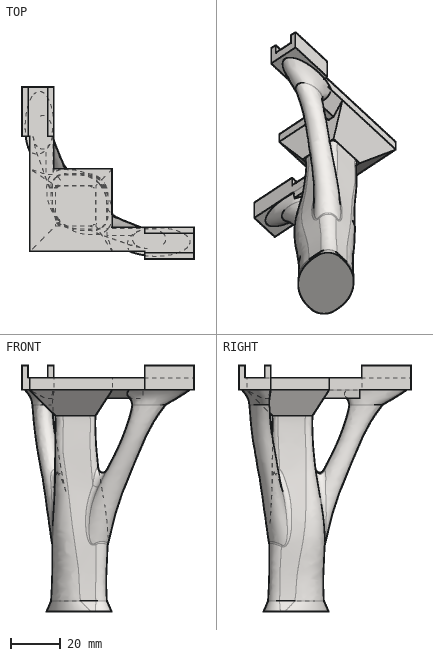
import cadquery as cq
import math


height = 100.0
overall_size = 69.98
plate_thickness = 5.0
lip_height = 5.0
plate_top = height - lip_height
plate_bottom = plate_top - plate_thickness
corner_size = 33.6

clip_wall = 2.5
clip_gap = 8.0
clip_length = 20.1
clip_overhang = 3.1
clip_width = clip_gap + 2 * clip_wall
arm_length = overall_size - clip_overhang
arm_width = clip_width - clip_overhang

trunk_top_low = 10.4
trunk_top_high = 26.9
gusset_bottom = plate_bottom - trunk_top_low

foot_base = (0.0, 6.9, 33.4, 6.8, 18.0)
foot_top = (4.3, 8.7, 31.5, 4.6, 12.0)
trunk_sections = [
    foot_top,
    (12.0, 9.1, 31.2, 4.4, 11.0),
    (22.0, 9.2, 31.6, 4.6, 10.0),
    (34.0, 9.4, 31.6, 5.0, 8.0),
    (46.0, 10.1, 30.0, 4.0, 6.0),
    (58.0, 10.4, 28.0, 3.0, 4.0),
    (70.0, 10.4, 26.9, 2.4, 3.0),
    (gusset_bottom, trunk_top_low, trunk_top_high, 2.4, 3.0),
]

branch_sections = [
    (8.0, 17.0, 27.5, 13.0, 22.0),
    (22.0, 18.0, 30.5, 10.3, 21.0),
    (34.0, 21.5, 33.5, 8.1, 18.5),
    (45.0, 25.0, 36.6, 6.6, 15.5),
    (57.0, 31.0, 41.3, 4.7, 13.0),
    (70.0, 37.4, 46.8, 2.5, 10.7),
    (79.0, 40.6, 51.7, 1.5, 9.6),
    (84.0, 41.7, 55.3, 1.1, 9.3),
]
branch_head_sections = [
    branch_sections[-1],
    (87.0, 40.5, 60.5, 0.3, 9.5),
    (plate_bottom, 37.0, 65.1, -1.9, 9.8),
]

crotch_radius = 2.5
crotch_zone_bottom = 20.0
crotch_zone_top = 60.0
lowest_crotch_edge_top = 48.0

web_depth = 3.4
web_start = 25.0
web_end = 46.0
web_ridge = (6.6, 9.4)


def box(x_range, y_range, z_range):
    """Axis-aligned box between the given limits."""
    size = [high - low for low, high in (x_range, y_range, z_range)]
    corner = (x_range[0], y_range[0], z_range[0])
    return cq.Workplane("XY").box(*size, centered=False).translate(corner)


def mirrored_arm(body):
    """Copy of a body mirrored across X = Y, from the X arm to the Y arm."""
    return body.rotate((0, 0, 0), (0, 0, 1), 90).mirror("YZ")


def trunk_wire(section):
    """Horizontal square with its four corners rounded by two different radii."""
    z, low, high, side_radius, end_radius = section
    side_mid = side_radius * (1 - math.sqrt(0.5))
    end_mid = end_radius * (1 - math.sqrt(0.5))
    outline = (
        cq.Workplane("XY", origin=(0, 0, z))
        .moveTo(low + end_radius, low)
        .lineTo(high - side_radius, low)
        .threePointArc((high - side_mid, low + side_mid), (high, low + side_radius))
        .lineTo(high, high - end_radius)
        .threePointArc((high - end_mid, high - end_mid), (high - end_radius, high))
        .lineTo(low + side_radius, high)
        .threePointArc((low + side_mid, high - side_mid), (low, high - side_radius))
        .lineTo(low, low + end_radius)
        .threePointArc((low + end_mid, low + end_mid), (low + end_radius, low))
        .close()
    )
    return outline.val()


def branch_wire(section):
    """Horizontal ellipse filling the given X and Y limits."""
    z, inner, outer, low, high = section
    center = ((inner + outer) / 2, (low + high) / 2, z)
    ellipse = cq.Workplane("XY", origin=center).ellipse((outer - inner) / 2, (high - low) / 2)
    return ellipse.val()


def loft(wires, ruled=False):
    return cq.Workplane(cq.Solid.makeLoft(wires, ruled))


def make_trunk():
    foot = loft([trunk_wire(foot_base), trunk_wire(foot_top)], ruled=True)
    column = loft([trunk_wire(section) for section in trunk_sections])
    return foot.union(column)


def make_gusset():
    top_center = corner_size / 2
    bottom_size = trunk_top_high - trunk_top_low
    bottom_center = (trunk_top_low + trunk_top_high) / 2
    top = cq.Workplane("XY", origin=(top_center, top_center, plate_bottom)).rect(corner_size, corner_size)
    bottom = cq.Workplane("XY", origin=(bottom_center, bottom_center, gusset_bottom))
    bottom = bottom.rect(bottom_size, bottom_size)
    return loft([bottom.val(), top.val()], ruled=True)


def make_branch():
    """Branch from inside the trunk up to the X arm, with its flared head and web."""
    stem = loft([branch_wire(section) for section in branch_sections])
    head = loft([branch_wire(section) for section in branch_head_sections])
    web_bottom = plate_bottom - web_depth
    web = (
        cq.Workplane("YZ", origin=(web_start, 0, 0))
        .polyline([
            (0, plate_bottom),
            (arm_width, plate_bottom),
            (web_ridge[1], web_bottom),
            (web_ridge[0], web_bottom),
        ])
        .close()
        .extrude(web_end - web_start)
    )
    return stem.union(head).union(web)


def make_arm():
    """X arm of the plate with its clip: a floor between two upright walls."""
    clip_x = (arm_length - clip_length, arm_length)
    arm = box((0, arm_length), (0, arm_width), (plate_bottom, plate_top))
    clip = box(clip_x, (-clip_overhang, arm_width), (plate_bottom, height))
    channel_y = (clip_wall - clip_overhang, arm_width - clip_wall)
    channel = box(clip_x, channel_y, (plate_top, height))
    return arm.union(clip.cut(channel))


def make_plate():
    corner = box((0, corner_size), (0, corner_size), (plate_bottom, plate_top))
    arm = make_arm()
    return corner.union(arm).union(mirrored_arm(arm))


def make_tree():
    """Trunk with both branches, rounded along the upper part of each crotch."""
    branch = make_branch()
    tree = make_trunk().union(branch).union(mirrored_arm(branch))
    crotch_edges = []
    for edge in tree.edges().vals():
        bounds = edge.BoundingBox()
        starts_in_zone = bounds.zmin > crotch_zone_bottom
        ends_in_zone = lowest_crotch_edge_top < bounds.zmax < crotch_zone_top
        if starts_in_zone and ends_in_zone:
            crotch_edges.append(edge)
    return tree.newObject(crotch_edges).fillet(crotch_radius)


result = make_plate().union(make_gusset()).union(make_tree())